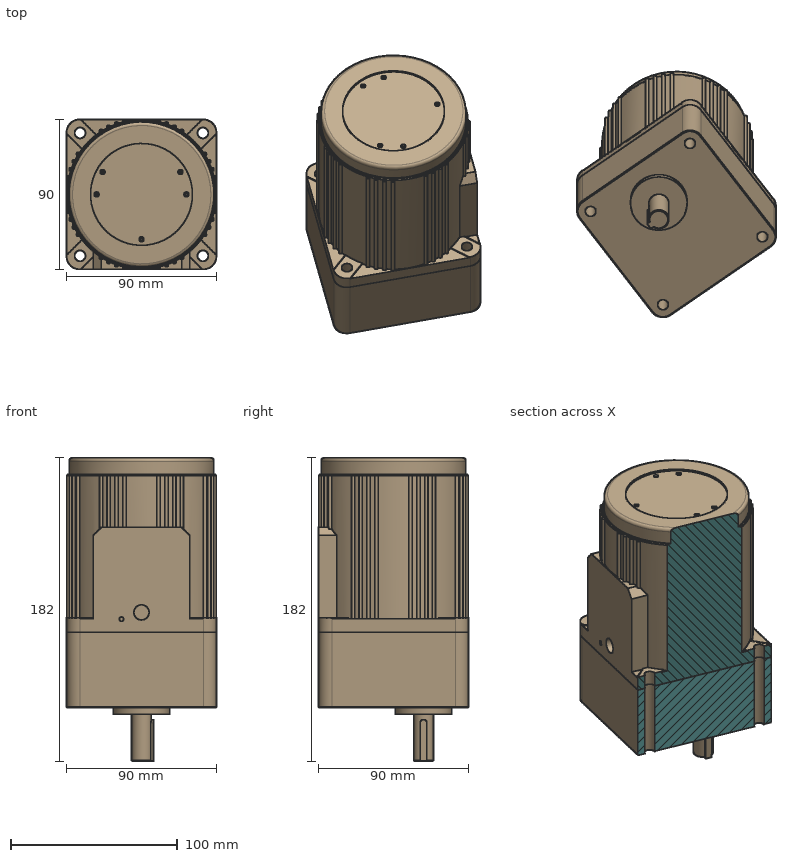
import cadquery as cq
import math

side = 90.0
corner_radius = 8.0
bolt_spacing = 73.7
bolt_hole_diameter = 6.4

gearhead_bottom = 32.0
joint_height = 77.2
pad_top = 85.9
pad_rise = 0.5
barrel_top = 172.0
overall_height = 182.0
flange_top = pad_top - pad_rise

bottom_chamfer = 0.5
shaft_offset = 18.0
boss_diameter = 34.0
boss_height = 4.0
shaft_diameter = 12.0
shaft_chamfer = 0.5
key_width = 4.0
key_reach = 7.3
key_length = 25.0

pad_width = 12.0

barrel_radius = 44.8
barrel_edge_chamfer = 0.7
rib_circle_radius = 45.0
rib_radius = 1.1
rib_first_angle = 13.0
rib_pitch_angle = 6.5
ribs_per_row = 4

cap_radius = 43.5
cap_fillet = 2.0
cap_recess_radius = 30.5
cap_recess_depth = 1.1
screw_circle_radius = 27.0
screw_hole_diameter = 1.5
screw_head_diameter = 3.0
screw_head_angle = 90
screw_hole_depth = 3.0
screw_angles = [0, 30, 150, 180, 270]

box_width = 57.9
box_top = 140.3
box_chamfer = 5.0
cable_hole_diameter = 9.1
cable_hole_height = 89.2
cable_hole_depth = 10.0
ground_hole_diameter = 2.5
ground_hole_x = -12.0
ground_hole_height = 85.2
ground_hole_depth = 3.0


def rounded_block(bottom, top):
    """Square block with rounded vertical corners between two heights."""
    block = cq.Workplane("XY", origin=(0, 0, bottom)).rect(side, side).extrude(top - bottom)
    return block.edges("|Z").fillet(corner_radius)


def cylinder(radius, bottom, top):
    """Upright cylinder on the motor axis."""
    return cq.Workplane("XY", origin=(0, 0, bottom)).circle(radius).extrude(top - bottom)


def polar_point(radius, angle):
    """Horizontal point at a radius from the motor axis and an angle in degrees from +X."""
    turn = math.radians(angle)
    return (radius * math.cos(turn), radius * math.sin(turn))


def bolt_holes():
    """Four bolt clearance holes running through both bodies."""
    return (
        cq.Workplane("XY", origin=(0, 0, gearhead_bottom))
        .rect(bolt_spacing, bolt_spacing, forConstruction=True)
        .vertices()
        .circle(bolt_hole_diameter / 2)
        .extrude(pad_top - gearhead_bottom)
    )


def output_shaft():
    """Off-centre shaft with its boss and a key rounded at its upper end."""
    boss_bottom = gearhead_bottom - boss_height
    boss = (
        cq.Workplane("XY", origin=(0, shaft_offset, boss_bottom))
        .circle(boss_diameter / 2)
        .extrude(boss_height)
    )
    shaft = (
        cq.Workplane("XY", origin=(0, shaft_offset, 0))
        .circle(shaft_diameter / 2)
        .extrude(boss_bottom)
        .faces("<Z")
        .chamfer(shaft_chamfer)
    )
    key_half = key_width / 2
    straight_length = key_length - key_half
    key = (
        cq.Workplane("YZ")
        .moveTo(shaft_offset - key_half, 0)
        .lineTo(shaft_offset + key_half, 0)
        .lineTo(shaft_offset + key_half, straight_length)
        .threePointArc((shaft_offset, key_length), (shaft_offset - key_half, straight_length))
        .close()
        .extrude(key_reach)
    )
    return boss.union(shaft).union(key)


def make_gearhead():
    """Gear housing in one piece with its output shaft."""
    housing = rounded_block(gearhead_bottom, joint_height).faces("<Z").chamfer(bottom_chamfer)
    return housing.union(output_shaft()).cut(bolt_holes())


def motor_flange():
    """Motor flange whose four corners carry slightly raised diagonal pads."""
    pads = cq.Workplane("XY", origin=(0, 0, flange_top))
    diagonal = 2 * side
    bands = pads.rect(diagonal, pad_width).extrude(pad_rise).rotate((0, 0, 0), (0, 0, 1), 45)
    bands = bands.union(bands.rotate((0, 0, 0), (0, 0, 1), 90))
    raised = bands.intersect(rounded_block(flange_top, pad_top))
    return rounded_block(joint_height, flange_top).union(raised)


def rib_points():
    """Centres of the ribs: a row on each side of both horizontal axes."""
    points = []
    for axis_angle in (0, 90, 180, 270):
        for index in range(ribs_per_row):
            offset = rib_first_angle + index * rib_pitch_angle
            for angle in (axis_angle - offset, axis_angle + offset):
                points.append(polar_point(rib_circle_radius, angle))
    return points


def ribbed_barrel():
    """Barrel and its half-round ribs, each bevelled around its upper edge."""
    barrel = cylinder(barrel_radius, flange_top, barrel_top)
    barrel = barrel.faces(">Z").chamfer(barrel_edge_chamfer)
    rib = cylinder(rib_radius, flange_top, barrel_top).faces(">Z").chamfer(barrel_edge_chamfer)
    for x, y in rib_points():
        barrel = barrel.union(rib.translate((x, y, 0)))
    return barrel


def end_cap():
    """Round cap with a shallow central recess and countersunk screw holes in its floor."""
    cap = cylinder(cap_radius, barrel_top, overall_height).faces(">Z").edges().fillet(cap_fillet)
    floor = overall_height - cap_recess_depth
    screw_points = [polar_point(screw_circle_radius, angle) for angle in screw_angles]
    return (
        cap.cut(cylinder(cap_recess_radius, floor, overall_height))
        .copyWorkplane(cq.Workplane("XY", origin=(0, 0, floor)))
        .pushPoints(screw_points)
        .cskHole(screw_hole_diameter, screw_head_diameter, screw_head_angle, screw_hole_depth)
    )


def terminal_box():
    """Block from the flat front face back to the motor axis, top corners cut."""
    return (
        cq.Workplane("XY", origin=(0, -side / 4, flange_top))
        .rect(box_width, side / 2)
        .extrude(box_top - flange_top)
        .edges("|Y and >Z")
        .chamfer(box_chamfer)
    )


def front_hole(x, height, diameter, depth):
    """Blind hole drilled in the +Y direction from the front face."""
    return (
        cq.Workplane("XZ", origin=(x, -side / 2, height))
        .circle(diameter / 2)
        .extrude(-depth)
    )


def make_motor():
    """Motor: flange, ribbed barrel, end cap and terminal box in one piece."""
    motor = motor_flange().union(ribbed_barrel()).union(terminal_box()).union(end_cap())
    cable_hole = front_hole(0, cable_hole_height, cable_hole_diameter, cable_hole_depth)
    ground_hole = front_hole(
        ground_hole_x, ground_hole_height, ground_hole_diameter, ground_hole_depth
    )
    return motor.cut(bolt_holes()).cut(cable_hole).cut(ground_hole)


gearhead = make_gearhead()
motor = make_motor()

result = cq.Compound.makeCompound([gearhead.val(), motor.val()])